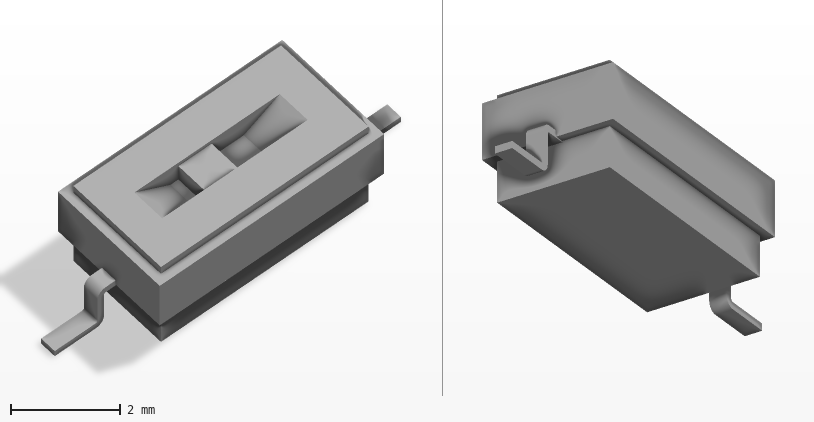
import cadquery as cq

overall_length = 8.35
overall_height = 2.3

housing_width = 2.87
housing_length = 5.41
step = 0.2
base_bottom = 0.05
housing_bottom = 0.91
housing_top = overall_height - step
inset_width = housing_width - 2 * step
inset_length = housing_length - 2 * step

slot_width = 0.785
slot_length = 3.51
slot_floor_length = 1.77
slot_depth = 0.5
slider_length = 0.8
slider_center_y = -0.29
slider_recess = 0.1

lead_width = 0.38
lead_thickness = 0.15
lead_top = 1.035
foot_length = 1.035
lead_embed = 0.15
inner_bend_radius = 0.05
outer_bend_radius = inner_bend_radius + lead_thickness


def block(width, length, bottom, top, center_y=0.0):
    """Upright box centred on X = 0."""
    return (
        cq.Workplane("XY")
        .workplane(offset=bottom)
        .center(0, center_y)
        .rect(width, length)
        .extrude(top - bottom)
    )


def extrude_across(profile, width):
    """Extrude a closed YZ profile evenly to both sides of X = 0."""
    return profile.extrude(width / 2, both=True)


def round_corners(solid, corners, radius):
    """Fillet the X-direction edges at the given (Y, Z) corners."""
    for y, z in corners:
        solid = solid.edges(cq.selectors.NearestToPointSelector((0, y, z))).fillet(radius)
    return solid


def make_housing():
    base = block(inset_width, inset_length, base_bottom, housing_bottom)
    middle = block(housing_width, housing_length, housing_bottom, housing_top)
    top_plate = block(inset_width, inset_length, housing_top, overall_height)
    return base.union(middle).union(top_plate)


def make_slot():
    floor = overall_height - slot_depth
    profile = (
        cq.Workplane("YZ")
        .moveTo(-slot_length / 2, overall_height)
        .lineTo(-slot_floor_length / 2, floor)
        .lineTo(slot_floor_length / 2, floor)
        .lineTo(slot_length / 2, overall_height)
        .close()
    )
    return extrude_across(profile, slot_width)


def make_slider():
    bottom = overall_height - slot_depth
    top = overall_height - slider_recess
    return block(slot_width, slider_length, bottom, top, slider_center_y)


def make_lead():
    """Lead on the +Y end, running from inside the base out to the foot tip."""
    root = inset_length / 2 - lead_embed
    tip = overall_length / 2
    leg_outside = tip - foot_length
    leg_inside = leg_outside - lead_thickness
    profile = (
        cq.Workplane("YZ")
        .moveTo(root, lead_top)
        .lineTo(leg_outside, lead_top)
        .lineTo(leg_outside, lead_thickness)
        .lineTo(tip, lead_thickness)
        .lineTo(tip, 0)
        .lineTo(leg_inside, 0)
        .lineTo(leg_inside, lead_top - lead_thickness)
        .lineTo(root, lead_top - lead_thickness)
        .close()
    )
    lead = extrude_across(profile, lead_width)
    outer_corners = [(leg_outside, lead_top), (leg_inside, 0)]
    inner_corners = [(leg_outside, lead_thickness), (leg_inside, lead_top - lead_thickness)]
    lead = round_corners(lead, outer_corners, outer_bend_radius)
    return round_corners(lead, inner_corners, inner_bend_radius)


lead = make_lead()
result = (
    make_housing()
    .cut(make_slot())
    .union(make_slider())
    .union(lead)
    .union(lead.mirror("XZ"))
)